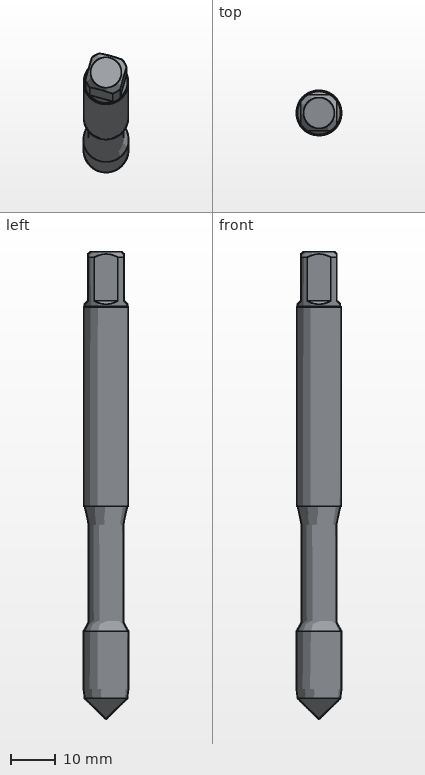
import cadquery as cq
import math

total_length = 104.5

thread_diameter = 10.1
lead_diameter = 9.6
point_height = 4.7
lead_top = 6.8
head_top = 19.7

neck_diameter = 7.8
shank_diameter = 10.0
head_side_angle = 30.0
neck_taper_diameter = 9.6
neck_taper_angle = 12.0
neck_blend_radius = 1.0
shank_bottom = 47.7
shank_top = 92.1
shank_shoulder_height = 0.2

drive_diameter = 9.6
drive_across_flats = 8.0
drive_flat_bottom = 93.6
flat_runout_angle = 45.0
drive_top_diameter = 6.9
drive_chamfer_height = 1.3


def make_cutting_head():
    """Revolved head, from the point up to the flat face against the shank."""
    return (
        cq.Workplane("XZ")
        .moveTo(0, 0)
        .lineTo(lead_diameter / 2, point_height)
        .lineTo(thread_diameter / 2, lead_top)
        .lineTo(thread_diameter / 2, head_top)
        .lineTo(0, head_top)
        .close()
        .revolve(360, (0, 0, 0), (0, 1, 0))
    )


def cone_height(large_diameter, small_diameter, side_angle):
    """Height of a cone whose side leans side_angle degrees from its axis."""
    return (large_diameter - small_diameter) / 2 / math.tan(math.radians(side_angle))


def make_shank_blank():
    """Revolved shank with a blended neck and a chamfered drive end."""
    neck_bottom = head_top + cone_height(thread_diameter, neck_diameter, head_side_angle)
    neck_top = shank_bottom - cone_height(neck_taper_diameter, neck_diameter, neck_taper_angle)
    blank = (
        cq.Workplane("XZ")
        .moveTo(0, head_top)
        .lineTo(thread_diameter / 2, head_top)
        .lineTo(neck_diameter / 2, neck_bottom)
        .lineTo(neck_diameter / 2, neck_top)
        .lineTo(neck_taper_diameter / 2, shank_bottom)
        .lineTo(shank_diameter / 2, shank_bottom)
        .lineTo(shank_diameter / 2, shank_top)
        .lineTo(drive_diameter / 2, shank_top + shank_shoulder_height)
        .lineTo(drive_diameter / 2, total_length - drive_chamfer_height)
        .lineTo(drive_top_diameter / 2, total_length)
        .lineTo(0, total_length)
        .close()
        .revolve(360, (0, 0, 0), (0, 1, 0))
    )
    neck_ends = cq.selectors.BoxSelector(
        (-shank_diameter, -shank_diameter, neck_bottom - neck_blend_radius),
        (shank_diameter, shank_diameter, neck_top + neck_blend_radius),
    )
    return blank.edges("%CIRCLE").edges(neck_ends).fillet(neck_blend_radius)


def make_flat_cutter():
    """Removes the material outside one drive flat, ending in a slope."""
    flat_x = drive_across_flats / 2
    outer_x = shank_diameter
    runout_drop = (outer_x - flat_x) * math.tan(math.radians(flat_runout_angle))
    return (
        cq.Workplane("XZ")
        .moveTo(flat_x, total_length)
        .lineTo(flat_x, drive_flat_bottom)
        .lineTo(outer_x, drive_flat_bottom - runout_drop)
        .lineTo(outer_x, total_length)
        .close()
        .extrude(shank_diameter, both=True)
    )


def make_shank():
    """Shank blank with four flats cut around the drive end."""
    shank = make_shank_blank()
    flat_cutter = make_flat_cutter()
    flat_count = 4
    for index in range(flat_count):
        angle = index * 360 / flat_count
        shank = shank.cut(flat_cutter.rotate((0, 0, 0), (0, 0, 1), angle))
    return shank


cutting_head = make_cutting_head()
shank = make_shank()

result = cq.Compound.makeCompound([cutting_head.val(), shank.val()])